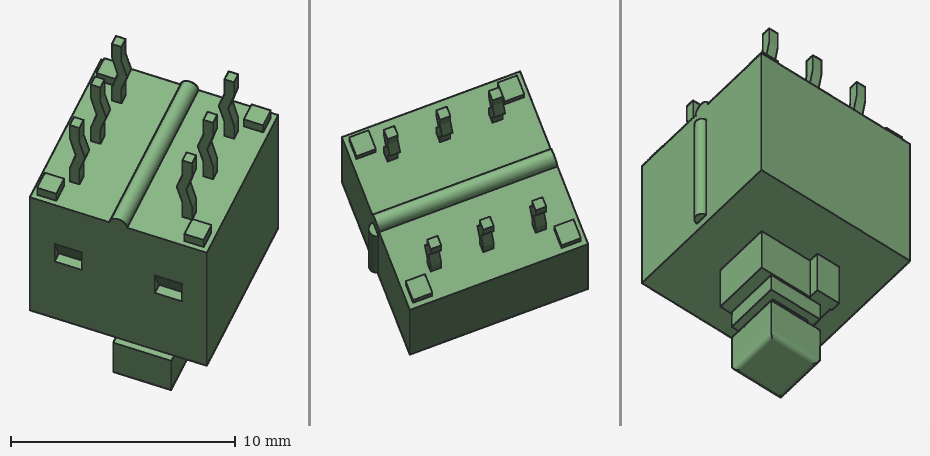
import cadquery as cq

HEAD_TOP = 2.25
NECK_TOP = 3.0
COLLAR_BOTTOM = 4.0
BODY_BOTTOM = 6.5
BODY_TOP = 14.5
PIN_TOP = 18.5

BODY_SIDE = 8.5

STEM_SIDE = 2.8
NECK_SIDE = 2.0
HEAD_FILLET = 0.25

COLLAR_SIDE = 4.0
CORE_WIDTH = 2.95
CORE_SETBACK = 0.1
FLANGE_DEPTH = 1.24
BORE_DIAMETER = 2.3
BORE_BOTTOM = 5.3
WINDOW_BOTTOM = 5.0

PAD_SIDE = 0.92
PAD_HEIGHT = 0.5
PAD_OFFSET = 3.53

TOP_RIDGE_WIDTH = 0.85
TOP_RIDGE_RISE = 0.4
REAR_RIDGE_WIDTH = 0.67
REAR_RIDGE_RISE = 0.31
REAR_RIDGE_BOTTOM = 7.0
REAR_RIDGE_TOP = 13.5

LATCH_OFFSET = 2.4
LATCH_WIDTH = 1.3
LATCH_FLOOR = 10.5
LATCH_HEIGHT = 1.24
LATCH_DEPTH = 0.5

PIN_OFFSET = 2.7
PIN_THICKNESS = 0.46
PIN_WIDTH = 0.5
PIN_PITCH = 2.5
KINK_DEPTH = 0.28
KINK_OUTER_HALF = 1.07
KINK_INNER_HALF = 0.98

FRONT = -BODY_SIDE / 2
REAR = BODY_SIDE / 2
SIDES = (-1, 1)


def block(x_size, y_size, bottom, top, y_center=0):
    """Upright rectangular block between two heights, centred on X = 0."""
    return (
        cq.Workplane("XY", origin=(0, y_center, bottom))
        .rect(x_size, y_size)
        .extrude(top - bottom)
    )


def make_button():
    head = block(STEM_SIDE, STEM_SIDE, 0, HEAD_TOP).faces("<Z").edges().fillet(HEAD_FILLET)
    neck = block(NECK_SIDE, NECK_SIDE, HEAD_TOP, NECK_TOP)
    stem = block(STEM_SIDE, STEM_SIDE, NECK_TOP, COLLAR_BOTTOM)
    return head.union(neck).union(stem)


def make_collar():
    flange_y = (FLANGE_DEPTH - COLLAR_SIDE) / 2
    flanges = block(COLLAR_SIDE, FLANGE_DEPTH, COLLAR_BOTTOM, BODY_BOTTOM, flange_y)
    recess_y = (CORE_SETBACK - COLLAR_SIDE) / 2
    front_recess = block(CORE_WIDTH, CORE_SETBACK, COLLAR_BOTTOM, BODY_BOTTOM, recess_y)
    core = block(CORE_WIDTH, COLLAR_SIDE, COLLAR_BOTTOM, BODY_BOTTOM)
    bore = (
        cq.Workplane("XY", origin=(0, 0, BORE_BOTTOM))
        .circle(BORE_DIAMETER / 2)
        .extrude(BODY_BOTTOM - BORE_BOTTOM)
    )
    window_depth = COLLAR_SIDE / 2
    window = block(BORE_DIAMETER, window_depth, WINDOW_BOTTOM, BODY_BOTTOM, -window_depth / 2)
    return flanges.union(core).cut(front_recess).cut(bore).cut(window)


def make_pads():
    return (
        cq.Workplane("XY", origin=(0, 0, BODY_TOP))
        .rect(2 * PAD_OFFSET, 2 * PAD_OFFSET, forConstruction=True)
        .vertices()
        .rect(PAD_SIDE, PAD_SIDE)
        .extrude(PAD_HEIGHT)
    )


def make_ridge(plane, origin, width, rise, length):
    """Arched bar that rises along the local Y of the sketch plane."""
    return (
        cq.Workplane(plane, origin=origin)
        .moveTo(-width / 2, 0)
        .threePointArc((0, rise), (width / 2, 0))
        .close()
        .extrude(length)
    )


def make_latch_recess(side):
    """Level floor, with a ceiling that slopes down from the front face to the rear of the floor."""
    x_start = side * LATCH_OFFSET - LATCH_WIDTH / 2
    return (
        cq.Workplane("YZ", origin=(x_start, 0, 0))
        .moveTo(FRONT, LATCH_FLOOR)
        .lineTo(FRONT + LATCH_DEPTH, LATCH_FLOOR)
        .lineTo(FRONT, LATCH_FLOOR + LATCH_HEIGHT)
        .close()
        .extrude(LATCH_WIDTH)
    )


def make_pin(side, y_center):
    outer = side * (PIN_OFFSET + PIN_THICKNESS / 2)
    inner = side * (PIN_OFFSET - PIN_THICKNESS / 2)
    kink = side * KINK_DEPTH
    kink_z = (BODY_TOP + PIN_TOP) / 2
    outline = [
        (outer, BODY_TOP),
        (outer, kink_z - KINK_OUTER_HALF),
        (outer - kink, kink_z),
        (outer, kink_z + KINK_OUTER_HALF),
        (outer, PIN_TOP),
        (inner, PIN_TOP),
        (inner, kink_z + KINK_INNER_HALF),
        (inner - kink, kink_z),
        (inner, kink_z - KINK_INNER_HALF),
        (inner, BODY_TOP),
    ]
    return (
        cq.Workplane("XZ", origin=(0, y_center, 0))
        .polyline(outline)
        .close()
        .extrude(PIN_WIDTH / 2, both=True)
    )


top_ridge = make_ridge("XZ", (0, REAR, BODY_TOP), TOP_RIDGE_WIDTH, TOP_RIDGE_RISE, BODY_SIDE)
rear_ridge = make_ridge(
    "XY",
    (0, REAR, REAR_RIDGE_BOTTOM),
    REAR_RIDGE_WIDTH,
    REAR_RIDGE_RISE,
    REAR_RIDGE_TOP - REAR_RIDGE_BOTTOM,
)

result = block(BODY_SIDE, BODY_SIDE, BODY_BOTTOM, BODY_TOP)
for feature in (make_collar(), make_button(), make_pads(), top_ridge, rear_ridge):
    result = result.union(feature)

for side in SIDES:
    result = result.cut(make_latch_recess(side))
    for row in (-1, 0, 1):
        result = result.union(make_pin(side, row * PIN_PITCH))